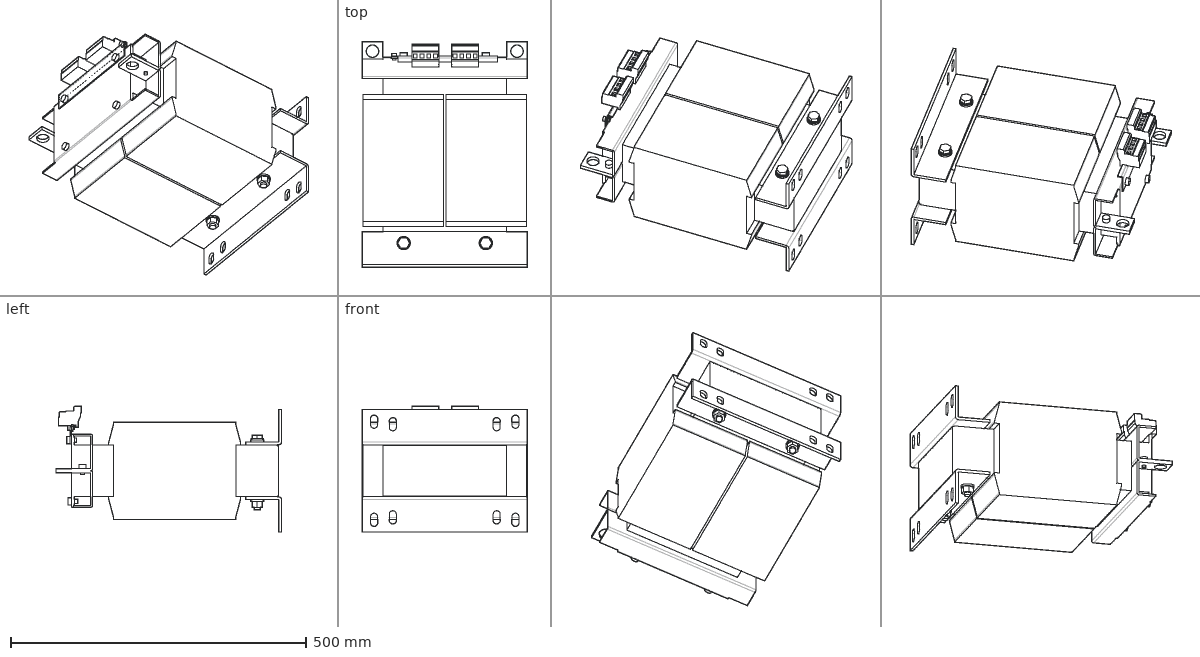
import cadquery as cq
import math


LENGTH = 382.0
BRACKET_WIDTH = 280.0
FOOT_THICKNESS = 5.0

CORE_WIDTH = 209.5
CORE_REAR = 356.0
CORE_HALF_HEIGHT = 42.8
SHEET_THICKNESS = 1.0
SHEET_INSET = 2.3
SHEET_FRONT = FOOT_THICKNESS + SHEET_INSET
SHEET_REAR = CORE_REAR - SHEET_INSET
SHEET_TOP = CORE_HALF_HEIGHT + SHEET_THICKNESS

COILS_WIDTH = 277.5
COIL_GAP = 4.0
COIL_HALF_HEIGHT = 82.5
COIL_FRONT = 77.5
COIL_REAR = 284.5
COIL_FLARE = 8.5
COIL_LIP = 3.5

FOOT_DEPTH = 60.7
FOOT_TOP = 104.0
SLOT_WIDTH = 12.0
SLOT_LENGTH = 22.0
OUTER_SLOT = (119.5, 83.0)
INNER_SLOT = (88.0, 78.7)

CHANNEL_THICKNESS = 3.5
CHANNEL_FRONT = 319.7
CHANNEL_REAR = 352.5
CHANNEL_HEIGHT = 62.0
BACKING_THICKNESS = 2.0
EAR_WIDTH = (BRACKET_WIDTH - CORE_WIDTH) / 2
EAR_X = (BRACKET_WIDTH - EAR_WIDTH) / 2
EAR_HOLE_DIAMETER = 20.5
EAR_HOLE_Y = 366.0

BOLT_X = 69.5
FOOT_BOLT_Y = 41.3
FOOT_SURFACE = SHEET_TOP + FOOT_THICKNESS
WASHER_DIAMETER = 22.5
WASHER_THICKNESS = 3.0
SPRING_WASHER_DIAMETER = 20.5
SPRING_WASHER_THICKNESS = 2.3
HEX_WIDTH = 17.5
HEAD_HEIGHT = 6.0
NUT_HEIGHT = 10.0
STUD_DIAMETER = 10.7
STUD_LENGTH = 4.2
EAR_BOLT_Y = 337.0
EAR_HEAD_DIAMETER = 12.2
EAR_HEAD_HEIGHT = 7.3
EAR_TIP_DIAMETER = 6.0
EAR_TIP_LENGTH = 3.0
RAIL_BOLT_Z = 52.0
RAIL_HEAD_DIAMETER = 12.5
RAIL_HEAD_HEIGHT = 5.7
RAIL_BOLT_DIAMETER = 7.5
RAIL_BOLT_LENGTH = 11.0

RAIL_WIDTH = 178.8
RAIL_THICKNESS = 2.0
RAIL_REAR = CORE_REAR + RAIL_THICKNESS
RAIL_BOTTOM = 45.0
RAIL_TOP = 77.0
RAIL_FLANGE_FRONT = 348.0
RAIL_FLANGE_LEFT = -79.5
RAIL_BEND = 3.5

EARTH_X = -85.5
EARTH_Z = 72.5
EARTH_HEAD_DIAMETER = 8.5
EARTH_HEAD_HEIGHT = 4.2
EARTH_NUT_DIAMETER = 11.5
EARTH_NUT_HEIGHT = 2.5
EARTH_TIP_DIAMETER = 5.7
EARTH_TIP_LENGTH = 5.5

TERMINAL_GROUP_CENTRES = (-33.0, 34.5)
TERMINAL_GROUP_WIDTH = 46.0
TERMINALS_PER_GROUP = 4
TERMINAL_PITCH = TERMINAL_GROUP_WIDTH / TERMINALS_PER_GROUP
TERMINAL_TOP = 109.5
TERMINAL_SHELF = 101.2
TERMINAL_SOCKET = 6.5
TERMINAL_SOCKET_DEPTH = 4.0
TERMINAL_SOCKET_Y = 358.0


def box(width, y_range, z_range, x_centre=0.0):
    """Box centred on x_centre that fills the given Y and Z ranges."""
    depth = y_range[1] - y_range[0]
    height = z_range[1] - z_range[0]
    corner = (x_centre - width / 2, y_range[0], z_range[0])
    return cq.Workplane("XY").box(width, depth, height, centered=False).translate(corner)


def extrude_along_x(points, width, x_centre=0.0):
    """Solid with the given (y, z) outline, centred on x_centre."""
    return cq.Workplane("YZ", origin=(x_centre, 0, 0)).polyline(points).close().extrude(width / 2, both=True)


def cylinder_z(x, y, diameter, z_start, z_end):
    base = cq.Workplane("XY", origin=(x, y, z_start))
    return base.circle(diameter / 2).extrude(z_end - z_start)


def cylinder_y(x, z, diameter, y_start, y_end):
    base = cq.Workplane("XZ", origin=(x, y_start, z))
    return base.circle(diameter / 2).extrude(y_start - y_end)


def hexagon_z(x, y, width, z_start, z_end):
    """Upright hexagon prism with two corners pointing along X."""
    base = cq.Workplane("XY", origin=(x, y, z_start))
    corner_diameter = width / math.cos(math.radians(30))
    return base.polygon(6, corner_diameter).extrude(z_end - z_start)


def with_mirror_below(body):
    return body.union(body.mirror("XY"))


def make_core():
    core = box(CORE_WIDTH, (FOOT_THICKNESS, CORE_REAR), (-CORE_HALF_HEIGHT, CORE_HALF_HEIGHT))
    sheets = box(CORE_WIDTH, (SHEET_FRONT, SHEET_REAR), (-SHEET_TOP, SHEET_TOP))
    return core.union(sheets)


def make_coils():
    """Pair of wound coils that flare outwards above and below the core yokes."""
    body = box(COILS_WIDTH, (COIL_FRONT, COIL_REAR), (-COIL_HALF_HEIGHT, COIL_HALF_HEIGHT))
    flare_front = COIL_FRONT - COIL_FLARE
    flare_rear = COIL_REAR + COIL_FLARE
    slope_bottom = SHEET_TOP + COIL_LIP
    slope_top = COIL_HALF_HEIGHT - COIL_LIP
    flare = [
        (flare_front, SHEET_TOP),
        (flare_front, slope_bottom),
        (COIL_FRONT, slope_top),
        (COIL_REAR, slope_top),
        (flare_rear, slope_bottom),
        (flare_rear, SHEET_TOP),
    ]
    body = body.union(with_mirror_below(extrude_along_x(flare, COILS_WIDTH)))
    gap = box(COIL_GAP, (0, LENGTH), (-COIL_HALF_HEIGHT, COIL_HALF_HEIGHT))
    return body.cut(gap)


def make_foot():
    """Upper front angle bracket with four upright slots."""
    shelf = box(BRACKET_WIDTH, (0, FOOT_DEPTH), (SHEET_TOP, FOOT_SURFACE))
    plate = box(BRACKET_WIDTH, (0, FOOT_THICKNESS), (FOOT_SURFACE, FOOT_TOP))
    foot = shelf.union(plate)
    foot = foot.edges("|X and <Y and <Z").fillet(FOOT_THICKNESS)
    for x, z in (OUTER_SLOT, INNER_SLOT):
        slots = (
            cq.Workplane("XZ")
            .pushPoints([(-x, z), (x, z)])
            .slot2D(SLOT_LENGTH, SLOT_WIDTH, 90)
            .extrude(-FOOT_THICKNESS)
        )
        foot = foot.cut(slots)
    return foot


def make_channel():
    """Upper rear channel with two lifting ears and a backed lip across the core."""
    outer = box(BRACKET_WIDTH, (CHANNEL_FRONT, CHANNEL_REAR), (0, CHANNEL_HEIGHT))
    outer = outer.edges("|X and <Y").fillet(CHANNEL_THICKNESS)
    inside = box(
        BRACKET_WIDTH,
        (CHANNEL_FRONT + CHANNEL_THICKNESS, CHANNEL_REAR),
        (CHANNEL_THICKNESS, CHANNEL_HEIGHT - CHANNEL_THICKNESS),
    )
    lip = box(CORE_WIDTH, (CHANNEL_REAR, CORE_REAR), (CORE_HALF_HEIGHT, CHANNEL_HEIGHT))
    lip = lip.edges("|X and >Y and >Z").fillet((CORE_REAR - CHANNEL_REAR) / 2)
    backing = box(
        CORE_WIDTH,
        (CHANNEL_REAR - BACKING_THICKNESS, CHANNEL_REAR),
        (CORE_HALF_HEIGHT, CHANNEL_HEIGHT - CHANNEL_THICKNESS),
    )
    channel = outer.cut(inside).union(lip).union(backing)
    for x in (-EAR_X, EAR_X):
        ear = box(EAR_WIDTH, (CHANNEL_REAR, LENGTH), (0, CHANNEL_THICKNESS), x)
        hole = cylinder_z(x, EAR_HOLE_Y, EAR_HOLE_DIAMETER, 0, CHANNEL_THICKNESS)
        channel = channel.union(ear).cut(hole)
    return channel


def make_foot_bolt(x):
    """Through bolt that clamps both feet: head on top, nut and stud end below."""
    seat = FOOT_SURFACE + WASHER_THICKNESS
    nut_end = seat + NUT_HEIGHT
    stud_end = nut_end + STUD_LENGTH
    washers = with_mirror_below(cylinder_z(x, FOOT_BOLT_Y, WASHER_DIAMETER, FOOT_SURFACE, seat))
    head_seat = seat + SPRING_WASHER_THICKNESS
    spring_washer = cylinder_z(x, FOOT_BOLT_Y, SPRING_WASHER_DIAMETER, seat, head_seat)
    head = hexagon_z(x, FOOT_BOLT_Y, HEX_WIDTH, head_seat, head_seat + HEAD_HEIGHT)
    nut = hexagon_z(x, FOOT_BOLT_Y, HEX_WIDTH, -nut_end, -seat)
    stud = cylinder_z(x, FOOT_BOLT_Y, STUD_DIAMETER, -stud_end, seat)
    return washers.union(spring_washer).union(head).union(nut).union(stud)


def make_ear_bolt(x):
    head_top = CHANNEL_THICKNESS + EAR_HEAD_HEIGHT
    tip_end = -CHANNEL_THICKNESS - EAR_TIP_LENGTH
    head = cylinder_z(x, EAR_BOLT_Y, EAR_HEAD_DIAMETER, CHANNEL_THICKNESS, head_top)
    tip = cylinder_z(x, EAR_BOLT_Y, EAR_TIP_DIAMETER, tip_end, head_top)
    return head.union(tip)


def make_rail_bolt(x, z, seat_y):
    """Bolt through a channel lip with its head resting on the plane y = seat_y."""
    head = cylinder_y(x, z, RAIL_HEAD_DIAMETER, seat_y, seat_y + RAIL_HEAD_HEIGHT)
    shank = cylinder_y(x, z, RAIL_BOLT_DIAMETER, seat_y - RAIL_BOLT_LENGTH, seat_y)
    return head.union(shank)


def make_rail():
    """Upright plate whose top is bent forwards to carry the terminals."""
    plate = box(RAIL_WIDTH, (CORE_REAR, RAIL_REAR), (RAIL_BOTTOM, RAIL_TOP - RAIL_BEND))
    flange_width = RAIL_WIDTH / 2 - RAIL_FLANGE_LEFT
    flange_x = RAIL_FLANGE_LEFT + flange_width / 2
    bend = box(flange_width, (RAIL_FLANGE_FRONT, RAIL_REAR), (RAIL_BOTTOM, RAIL_TOP), flange_x)
    bend = bend.edges("|X and >Y and >Z").fillet(RAIL_BEND)
    inside = box(
        flange_width,
        (RAIL_FLANGE_FRONT, CORE_REAR),
        (RAIL_BOTTOM, RAIL_TOP - RAIL_THICKNESS),
        flange_x,
    )
    inside = inside.edges("|X and >Y and >Z").fillet(RAIL_BEND - RAIL_THICKNESS)
    return plate.union(bend.cut(inside))


def make_earth_screw():
    head = cylinder_y(EARTH_X, EARTH_Z, EARTH_HEAD_DIAMETER, RAIL_REAR, RAIL_REAR + EARTH_HEAD_HEIGHT)
    nut = cylinder_y(EARTH_X, EARTH_Z, EARTH_NUT_DIAMETER, CORE_REAR - EARTH_NUT_HEIGHT, CORE_REAR)
    tip = cylinder_y(EARTH_X, EARTH_Z, EARTH_TIP_DIAMETER, CORE_REAR - EARTH_TIP_LENGTH, RAIL_REAR)
    return head.union(nut).union(tip)


def make_terminal_group(x):
    """Row of terminal blocks with a square socket in the shelf above each wire."""
    outline = [
        (377.8, 76.0),
        (377.8, 91.0),
        (376.5, 91.0),
        (376.5, 99.0),
        (375.0, 100.0),
        (366.0, 100.0),
        (365.0, TERMINAL_SHELF),
        (352.0, TERMINAL_SHELF),
        (352.0, 107.7),
        (349.5, TERMINAL_TOP),
        (339.0, TERMINAL_TOP),
        (339.0, 97.8),
        (340.0, 97.8),
        (340.0, 92.5),
        (343.8, 84.0),
        (343.8, 73.5),
        (349.5, 73.5),
        (349.5, 76.0),
    ]
    group = extrude_along_x(outline, TERMINAL_GROUP_WIDTH, x)
    sockets = (
        cq.Workplane("XY", origin=(x, TERMINAL_SOCKET_Y, TERMINAL_SHELF))
        .rarray(TERMINAL_PITCH, 4, TERMINALS_PER_GROUP, 1)
        .rect(TERMINAL_SOCKET, TERMINAL_SOCKET)
        .extrude(-TERMINAL_SOCKET_DEPTH)
    )
    return group.cut(sockets)


result = make_core().union(make_coils())
result = result.union(with_mirror_below(make_foot()))
result = result.union(with_mirror_below(make_channel()))
result = result.union(make_rail()).union(make_earth_screw())
for side in (-1, 1):
    result = result.union(make_foot_bolt(side * BOLT_X))
    result = result.union(make_ear_bolt(side * EAR_X))
    result = result.union(make_rail_bolt(side * BOLT_X, RAIL_BOLT_Z, RAIL_REAR))
    result = result.union(make_rail_bolt(side * BOLT_X, -RAIL_BOLT_Z, CORE_REAR))
for centre in TERMINAL_GROUP_CENTRES:
    result = result.union(make_terminal_group(centre))